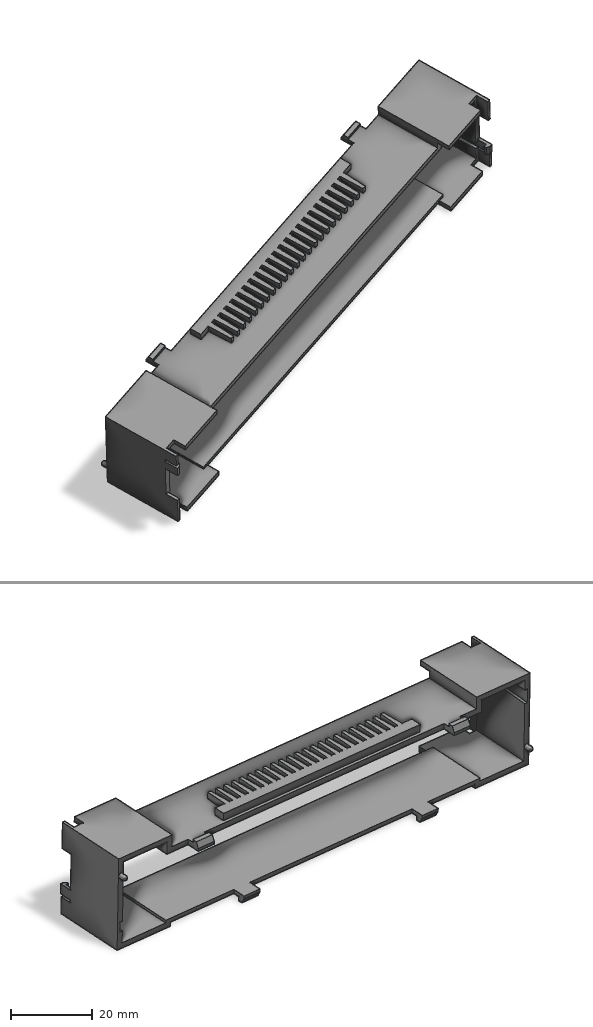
import cadquery as cq
import math

LEAN_ANGLE = 1.3

LENGTH = 132.7
DEPTH = 21.4
HEIGHT = 26.8
WALL = 1.6
ROOF = 1.5
HALF_LENGTH = LENGTH / 2

BOX_LENGTH = 17.3
PANEL_DEPTH = 17.9
PANEL_DROP = 3.5
FLOOR_RISE = 1.2
FLOOR_PANEL = 1.2
STEP_Y = HALF_LENGTH - BOX_LENGTH
LEDGE_Y = STEP_Y + WALL
INNER_Y = HALF_LENGTH - WALL
PANEL_TOP = HEIGHT - PANEL_DROP
PANEL_BOTTOM = PANEL_TOP - WALL
FLOOR_TOP = FLOOR_RISE + FLOOR_PANEL

SKIN = 0.8
RELIEF_WIDTH = 3.0
WINDOW_BOTTOM = 8.6
WINDOW_TOP = 19.1
FINGER_HEIGHT = 2.9
FINGER_OVERHANG = 0.3
FINGER_SLOT = 0.8
HOOK_LENGTH = 0.9
GROOVE_RAMP = 0.7
LOW_GROOVE_TOP = 8.0
HIGH_GROOVE_TOP = 22.4

PIN_DIAMETER = 1.5
PIN_LENGTH = 2.0
PIN_ROUNDING = 0.5
LOW_PIN_Z = 5.6
HIGH_PIN_Z = 21.6

CLIP_REACH = 3.8
CLIP_WIDTH = 5.2
CLIP_TIP = 0.8
BARB_START = 3.0
BARB_END = 1.7
UPPER_BARB = 0.8
UPPER_CLIP_YS = (41.3, -41.3)
LOWER_CLIP_YS = (26.1, -31.3)

COMB_X = 0.9
COMB_BAR_WIDTH = 3.2
COMB_LENGTH = 63.5
COMB_HEIGHT = 2.1
FIN_COUNT = 23
FIN_PITCH = 2.53
FIN_LENGTH = 6.8
FIN_DROP = 0.2
FIN_ROOT = 1.5
FIN_TIP = 0.9


def block(x_range, y_range, z_range):
    """Box between two limits along each axis."""
    (x0, x1), (y0, y1), (z0, z1) = x_range, y_range, z_range
    box = cq.Workplane("XY").box(x1 - x0, abs(y1 - y0), z1 - z0, centered=False)
    return box.translate((x0, min(y0, y1), z0))


def symmetric_outline(half_points):
    """Closed outline in YZ from the points of its +Y half, listed top to bottom."""
    mirrored = [(-y, z) for y, z in reversed(half_points)]
    return cq.Workplane("YZ").polyline(half_points + mirrored).close()


def make_frame():
    outside = symmetric_outline([
        (STEP_Y, PANEL_TOP),
        (STEP_Y, HEIGHT),
        (HALF_LENGTH, HEIGHT),
        (HALF_LENGTH, 0),
        (STEP_Y, 0),
        (STEP_Y, FLOOR_RISE),
    ]).extrude(DEPTH)
    inside = symmetric_outline([
        (LEDGE_Y, PANEL_BOTTOM),
        (LEDGE_Y, HEIGHT - ROOF),
        (INNER_Y, HEIGHT - ROOF),
        (INNER_Y, WALL),
        (LEDGE_Y, WALL),
        (LEDGE_Y, FLOOR_TOP),
    ]).extrude(DEPTH)
    frame = outside.cut(inside)
    back = (PANEL_DEPTH, DEPTH)
    frame = frame.cut(block(back, (-STEP_Y, STEP_Y), (0, HEIGHT)))
    return frame.cut(block(back, (-LEDGE_Y, LEDGE_Y), (WALL, HEIGHT - ROOF)))


def cut_end_wall(body, side, finger_bottom, slot_bottom, groove_top):
    """Thin the back of one end wall and open its window, slot and inner groove."""
    outer, skin, inner = (side * (HALF_LENGTH - d) for d in (0, SKIN, WALL))
    back = (PANEL_DEPTH, DEPTH)
    relief = block(back, (skin, skin - side * RELIEF_WIDTH), (0, HEIGHT))
    window = block(back, (outer, inner), (WINDOW_BOTTOM, WINDOW_TOP))
    slot = block(back, (outer, inner), (slot_bottom, slot_bottom + FINGER_SLOT))
    groove = cq.Workplane("XZ", origin=(0, skin, 0)).polyline([
        (0, finger_bottom - GROOVE_RAMP),
        (PANEL_DEPTH, finger_bottom),
        (PANEL_DEPTH, groove_top),
        (0, groove_top),
    ]).close().extrude(skin - inner)
    return body.cut(relief).cut(window).cut(slot).cut(groove)


def make_finger_hook(side, finger_bottom):
    """Inward hook on the end of a snap finger, with a sloping lead-in."""
    outer, skin, inner = (side * (HALF_LENGTH - d) for d in (0, SKIN, WALL))
    tip = DEPTH + FINGER_OVERHANG
    points = [
        (DEPTH - HOOK_LENGTH, skin),
        (DEPTH - HOOK_LENGTH, inner),
        (DEPTH - FINGER_OVERHANG, inner),
        (tip, skin),
        (tip, outer),
        (DEPTH - HOOK_LENGTH, outer),
    ]
    return cq.Workplane("XY").workplane(offset=finger_bottom).polyline(points).close().extrude(FINGER_HEIGHT)


def make_pin(side, z):
    """Round-nosed pin pointing forward from the middle of an end wall's front edge."""
    y = side * (HALF_LENGTH - WALL / 2)
    pin = cq.Workplane("YZ", origin=(0, y, z)).circle(PIN_DIAMETER / 2).extrude(-PIN_LENGTH)
    return pin.faces("<X").edges().fillet(PIN_ROUNDING)


def make_clip(y, flat_z, shoulder_z, barb_z):
    """Clip reaching forward from a panel: flat on one face, with a barb past the shoulder on the other."""
    tip_z = flat_z + math.copysign(CLIP_TIP, barb_z - flat_z)
    points = [
        (0, flat_z),
        (-CLIP_REACH, flat_z),
        (-CLIP_REACH, tip_z),
        (-BARB_START, barb_z),
        (-BARB_END, barb_z),
        (-BARB_END, shoulder_z),
        (0, shoulder_z),
    ]
    return cq.Workplane("XZ", origin=(0, y, 0)).polyline(points).close().extrude(CLIP_WIDTH / 2, both=True)


def make_comb():
    """Raised bar on the upper panel with fins behind it that narrow and dip toward their tips."""
    root_x = COMB_X + COMB_BAR_WIDTH
    top = (PANEL_TOP, PANEL_TOP + COMB_HEIGHT)
    comb = block((COMB_X, root_x), (-COMB_LENGTH / 2, COMB_LENGTH / 2), top)
    fin_plan = cq.Workplane("XY", origin=(root_x, 0, PANEL_TOP)).polyline([
        (0, -FIN_ROOT / 2),
        (FIN_LENGTH, -FIN_TIP / 2),
        (FIN_LENGTH, FIN_TIP / 2),
        (0, FIN_ROOT / 2),
    ]).close().extrude(COMB_HEIGHT)
    fin_side = cq.Workplane("XZ", origin=(root_x, 0, PANEL_TOP)).polyline([
        (0, 0),
        (FIN_LENGTH, 0),
        (FIN_LENGTH, COMB_HEIGHT - FIN_DROP),
        (0, COMB_HEIGHT),
    ]).close().extrude(FIN_ROOT, both=True)
    fin = fin_plan.intersect(fin_side)
    for i in range(FIN_COUNT):
        comb = comb.union(fin.translate((0, (i - (FIN_COUNT - 1) / 2) * FIN_PITCH, 0)))
    return comb


body = make_frame()

low_finger_z = WINDOW_BOTTOM - FINGER_HEIGHT
low_slot_z = low_finger_z - FINGER_SLOT
high_slot_z = WINDOW_TOP + FINGER_HEIGHT
body = cut_end_wall(body, 1, low_finger_z, low_slot_z, LOW_GROOVE_TOP)
body = cut_end_wall(body, -1, WINDOW_TOP, high_slot_z, HIGH_GROOVE_TOP)
body = body.union(make_finger_hook(1, low_finger_z))
body = body.union(make_finger_hook(-1, WINDOW_TOP))

body = body.union(make_pin(1, HIGH_PIN_Z))
body = body.union(make_pin(-1, LOW_PIN_Z))

for clip_y in UPPER_CLIP_YS:
    body = body.union(make_clip(clip_y, PANEL_BOTTOM, PANEL_TOP, PANEL_TOP + UPPER_BARB))
for clip_y in LOWER_CLIP_YS:
    body = body.union(make_clip(clip_y, FLOOR_TOP, FLOOR_RISE, 0))

body = body.union(make_comb())

result = body.rotate((0, 0, 0), (0, 1, 0), -LEAN_ANGLE)